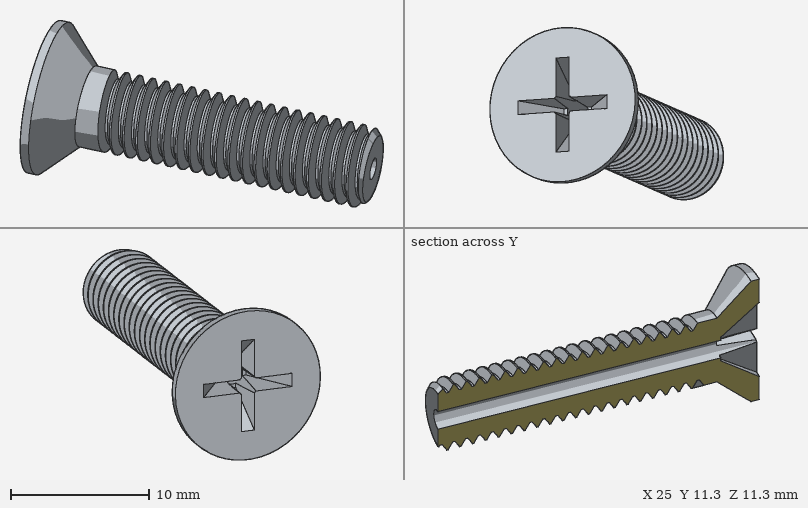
import cadquery as cq
import math

length = 25.0

head_radius = 5.65
rim_thickness = 0.65
shank_radius = 3.0
cone_length = head_radius - shank_radius
tip_chamfer = 0.55
seam_angle = 90
bore_diameter = 1.6

arm_span = 6.9
arm_width = 1.0
floor_span = 2.15
floor_width = 0.5
recess_depth = 3.0

pitch = 1.0
thread_start = 4.75
thread_depth = 0.6134 * pitch
crest_flat = pitch / 8
flank_half_angle = math.radians(30)
turns_per_section = 7
section_count = 3
cutter_overlap = 0.05


def make_blank():
    """Head, shank and chamfered tip, revolved about the X axis."""
    cone_end = rim_thickness + cone_length
    blank = (
        cq.Workplane("XY")
        .moveTo(0, 0)
        .lineTo(0, head_radius)
        .lineTo(rim_thickness, head_radius)
        .lineTo(cone_end, shank_radius)
        .lineTo(length - tip_chamfer, shank_radius)
        .lineTo(length, shank_radius - tip_chamfer)
        .lineTo(length, 0)
        .close()
        .revolve(360, (0, 0, 0), (1, 0, 0))
    )
    return blank.rotate((0, 0, 0), (1, 0, 0), seam_angle)


def make_groove_section(start):
    """One section of the helical groove, beginning on the -Z side at X = start."""
    root_radius = shank_radius - thread_depth
    outer_radius = shank_radius + cutter_overlap
    flank_slope = math.tan(flank_half_angle)
    half_mouth = (pitch - crest_flat) / 2
    half_outer = half_mouth + cutter_overlap * flank_slope
    half_root = half_mouth - thread_depth * flank_slope
    helix = cq.Wire.makeHelix(pitch, turns_per_section * pitch, root_radius)
    groove = (
        cq.Workplane("XZ")
        .moveTo(root_radius, -half_root)
        .lineTo(outer_radius, -half_outer)
        .lineTo(outer_radius, half_outer)
        .lineTo(root_radius, half_root)
        .close()
        .sweep(cq.Workplane(obj=helix), isFrenet=True)
    )
    return groove.rotate((0, 0, 0), (0, 1, 0), 90).translate((start, 0, 0))


def make_recess_bar(angle):
    """One tapered bar of the cross, turned about the X axis."""
    bar = (
        cq.Workplane("YZ")
        .rect(arm_span, arm_width)
        .workplane(offset=recess_depth)
        .rect(floor_span, floor_width)
        .loft(ruled=True)
    )
    return bar.rotate((0, 0, 0), (1, 0, 0), angle)


result = make_blank()
for section in range(section_count):
    section_start = thread_start + section * turns_per_section * pitch
    result = result.cut(make_groove_section(section_start))

for bar_angle in (0, 90):
    result = result.cut(make_recess_bar(bar_angle))

bore = cq.Workplane("YZ").circle(bore_diameter / 2).extrude(length)
result = result.cut(bore)